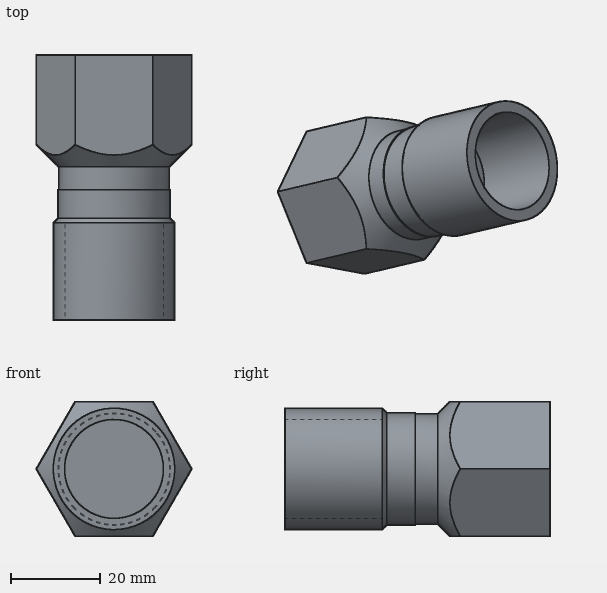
import cadquery as cq
import math

total_length = 59.0
hex_across_flats = 30.0
hex_across_corners = hex_across_flats / math.cos(math.pi / 6)

sleeve_diameter = 27.0
collar_diameter = 25.0
neck_diameter = 24.65
bore_diameter = 22.0

sleeve_end = 21.65
collar_end = 29.0
neck_end = 34.05
bore_depth = sleeve_end

sleeve_taper = (sleeve_diameter - collar_diameter) / 2
hex_taper = (hex_across_corners - neck_diameter) / 2


def turned_envelope():
    """Revolved outer shape, wide enough at the back to hold the hexagon."""
    profile = [
        (0, 0),
        (sleeve_diameter / 2, 0),
        (sleeve_diameter / 2, sleeve_end),
        (collar_diameter / 2, sleeve_end + sleeve_taper),
        (collar_diameter / 2, collar_end),
        (neck_diameter / 2, collar_end),
        (neck_diameter / 2, neck_end),
        (hex_across_corners / 2, neck_end + hex_taper),
        (hex_across_corners / 2, total_length),
        (0, total_length),
    ]
    return cq.Workplane("XY").polyline(profile).close().revolve(360, (0, 0, 0), (0, 1, 0))


def hexagonal_bar():
    """Full-length hexagon with corners on the X axis and flats facing +Z and -Z."""
    return cq.Workplane("XZ").polygon(6, hex_across_corners).extrude(-total_length)


def blind_bore():
    """Flat-bottomed bore entering from the sleeve end."""
    return cq.Workplane("XZ").circle(bore_diameter / 2).extrude(-bore_depth)


result = turned_envelope().intersect(hexagonal_bar()).cut(blind_bore())